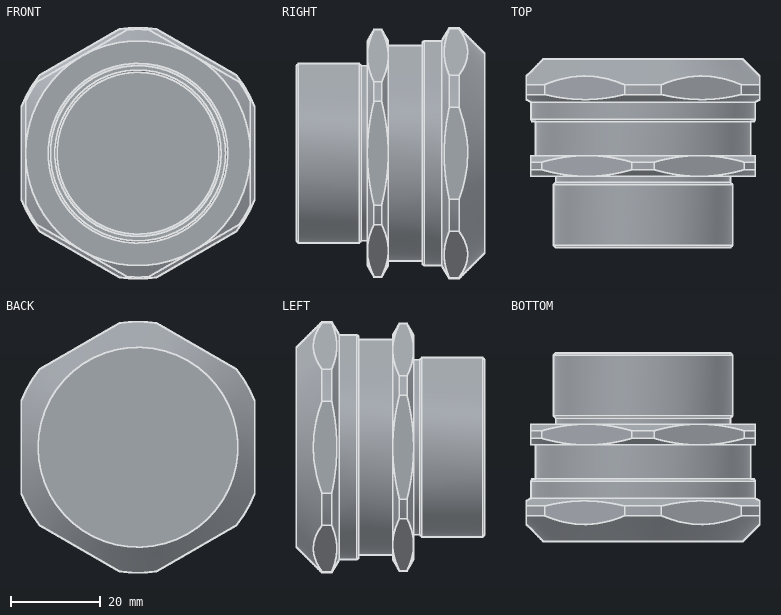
import cadquery as cq
import math

spigot_end = 14.0
neck_start = 14.5
lock_hex_start = 15.85
lock_hex_end = 20.5
collar_start = 28.0
cap_start = 32.35
total_length = 41.95

bore_diameter = 36.0
neck_diameter = 39.0
spigot_diameter = 40.0
body_diameter = 48.0
collar_diameter = 50.0

lock_hex_flats = collar_diameter
lock_hex_corners = 55.1
cap_flats = 52.0
cap_corners = 55.95
cap_back_diameter = 44.5

bore_depth = spigot_end
edge_chamfer = 0.5
collar_chamfer = 0.5
corner_cone_angle = 30.0


def revolve_about_y(profile):
    """Revolve (radius, y) points, closed along the axis, about the Y axis."""
    points = [(0, profile[0][1])] + profile + [(0, profile[-1][1])]
    return cq.Workplane("XY").polyline(points).close().revolve(360, (0, 0), (0, 1))


def hex_prism(flats, start, end):
    """Hexagonal bar along Y with corners at +Z and -Z."""
    corner_diameter = flats / math.cos(math.radians(30))
    return (
        cq.Workplane("XZ", origin=(0, start, 0))
        .transformed(rotate=(0, 0, 90))
        .polygon(6, corner_diameter)
        .extrude(start - end)
    )


def cone_length(small_diameter, large_diameter):
    """Axial length of a corner cone between two diameters."""
    return (large_diameter - small_diameter) / 2 * math.tan(math.radians(corner_cone_angle))


def make_turned_core():
    spigot_radius = spigot_diameter / 2
    neck_radius = neck_diameter / 2
    body_radius = body_diameter / 2
    collar_radius = collar_diameter / 2
    return revolve_about_y([
        (neck_radius, 0),
        (spigot_radius, edge_chamfer),
        (spigot_radius, spigot_end),
        (neck_radius, neck_start),
        (neck_radius, lock_hex_start),
        (body_radius, lock_hex_start),
        (body_radius, collar_start),
        (collar_radius - collar_chamfer / 2, collar_start),
        (collar_radius, collar_start + collar_chamfer),
        (collar_radius, cap_start),
    ])


def make_lock_hex():
    cone = cone_length(lock_hex_flats, lock_hex_corners)
    envelope = revolve_about_y([
        (lock_hex_flats / 2, lock_hex_start),
        (lock_hex_corners / 2, lock_hex_start + cone),
        (lock_hex_corners / 2, lock_hex_end - cone),
        (lock_hex_flats / 2, lock_hex_end),
    ])
    return hex_prism(lock_hex_flats, lock_hex_start, lock_hex_end).intersect(envelope)


def make_cap():
    front_cone = cone_length(collar_diameter, cap_corners)
    back_cone = (cap_corners - cap_back_diameter) / 2
    envelope = revolve_about_y([
        (collar_diameter / 2, cap_start),
        (cap_corners / 2, cap_start + front_cone),
        (cap_corners / 2, total_length - back_cone),
        (cap_back_diameter / 2, total_length),
    ])
    return hex_prism(cap_flats, cap_start, total_length).intersect(envelope)


def make_bore():
    radius = bore_diameter / 2
    return revolve_about_y([
        (radius + edge_chamfer, 0),
        (radius, edge_chamfer),
        (radius, bore_depth),
    ])


result = make_turned_core().union(make_lock_hex()).union(make_cap()).cut(make_bore())